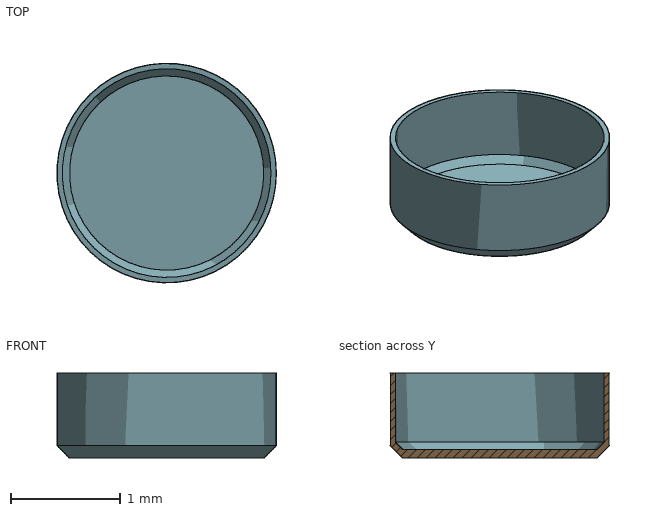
import cadquery as cq

outer_diameter = 2.01
height = 0.78
wall = 0.05
floor_thickness = 0.08
base_bevel = 0.115
inner_bevel = 0.066

outer_radius = outer_diameter / 2
inner_radius = outer_radius - wall

body = cq.Workplane("XY").circle(outer_radius).extrude(height)
body = body.faces("<Z").edges().chamfer(base_bevel)

cavity = (
    cq.Workplane("XY")
    .workplane(offset=floor_thickness)
    .circle(inner_radius)
    .extrude(height - floor_thickness)
    .faces("<Z")
    .edges()
    .chamfer(inner_bevel)
)

result = body.cut(cavity)